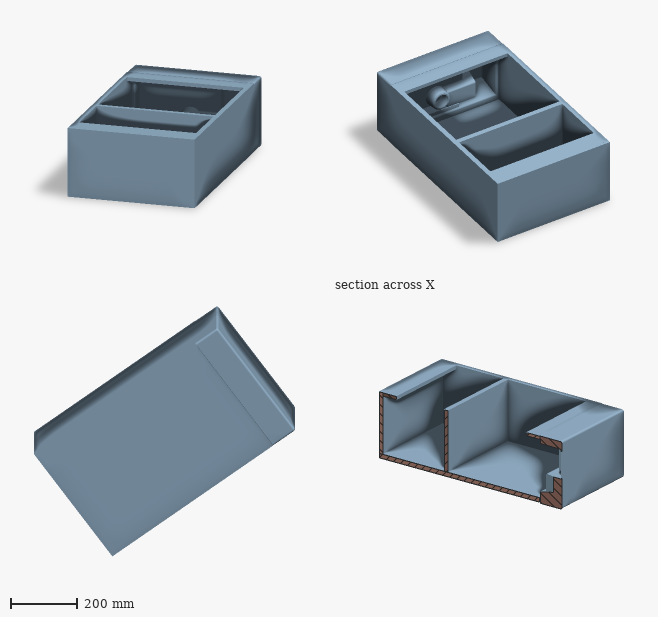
import cadquery as cq
import math

width = 400.0
total_length = 682.0
total_height = 220.0

board = 16.0
box_length = 600.0
base_length = 598.0
base_bottom = 3.0
wall_height = 200.0
wall_bottom = base_bottom + board
wall_top = wall_bottom + wall_height
divider_y = 242.0
strip_width = 50.0
strip_thickness = 12.0

cap_edge_radius = 6.5
pocket_side_wall = 26.0
pocket_back_wall = 4.0
pocket_radius = 5.0
pocket_top = total_height - pocket_side_wall
pocket_back = total_length - pocket_back_wall
floor_height = 38.5
floor_angle = 12.0

panel_front = 645.0
panel_right = 283.0
motor_left = 213.0
motor_right_front = 313.0
motor_right_back = 327.0
motor_front = 618.0
motor_top = 99.0
motor_radius = 5.0
tube_x = 188.0
tube_z = 79.5
tube_front = 610.0
tube_front_radius = 30.0
tube_back_radius = 34.0
tube_bore_radius = 23.0
tube_chamfer = 3.0
rib_right = 247.0
rib_front = 606.0
rib_thickness = 2.0
rib_top = 52.5
sink = 3.0


def block(x0, x1, y0, y1, z0, z1):
    """Box between two opposite corners."""
    return cq.Workplane("XY").box(x1 - x0, y1 - y0, z1 - z0, centered=False).translate((x0, y0, z0))


def floor_z(y):
    """Height of the sloping pocket floor at a given Y."""
    return floor_height + (y - box_length) * math.tan(math.radians(floor_angle))


def make_base():
    return block(0, width, 0, base_length, base_bottom, wall_bottom)


def make_side(x):
    return block(x, x + board, 0, box_length, wall_bottom, wall_top)


def make_cross_board(y):
    """Full-height board between the sides."""
    return block(board, width - board, y, y + board, wall_bottom, wall_top)


def make_strip(y):
    """Top strip between the sides, flush with their upper edges."""
    return block(board, width - board, y, y + strip_width, wall_top - strip_thickness, wall_top)


def make_pocket():
    """Room inside the cap, rounded where its side walls and floor meet the back."""
    profile = [
        (box_length, floor_height),
        (pocket_back, floor_z(pocket_back)),
        (pocket_back, pocket_top),
        (box_length, pocket_top),
    ]
    pocket = cq.Workplane("YZ", origin=(pocket_side_wall, 0, 0)).polyline(profile).close()
    pocket = pocket.extrude(width - 2 * pocket_side_wall)
    return pocket.faces(">Y").edges().fillet(pocket_radius)


def make_cap_shell():
    cap = block(0, width, box_length, total_length, 0, total_height)
    cap = cap.faces(">Y or <X or >X").edges("not(<Y)").fillet(cap_edge_radius)
    cap = cap.cut(make_pocket())
    rim_edges = cq.selectors.BoxSelector(
        (board, box_length - 1, board),
        (width - board, box_length + 1, total_height - board),
    )
    return cap.edges(rim_edges).fillet(pocket_radius)


def make_panel():
    """Raised back panel filling the left part of the pocket."""
    return block(pocket_side_wall, panel_right, panel_front, pocket_back, floor_height, pocket_top)


def make_motor():
    """Housing with a slanted right end and a rounded upper front edge."""
    outline = [
        (motor_left, motor_front),
        (motor_right_front, motor_front),
        (motor_right_back, pocket_back),
        (motor_left, pocket_back),
    ]
    bottom = floor_z(motor_front) - sink
    motor = cq.Workplane("XY", origin=(0, 0, bottom)).polyline(outline).close()
    motor = motor.extrude(motor_top - bottom)
    return motor.faces("<Y").edges(">Z").fillet(motor_radius)


def make_cove():
    """Concave fillet between the motor top and the raised panel."""
    y = panel_front - motor_radius
    z = motor_top + motor_radius
    cove = block(motor_left, panel_right, y, panel_front, motor_top, z)
    hollow = cq.Workplane("YZ", origin=(motor_left, y, z)).circle(motor_radius)
    return cove.cut(hollow.extrude(panel_right - motor_left))


def make_tube():
    """Tube along Y, tapering towards its chamfered front, with a bore ending at the panel."""
    length = panel_front - tube_front
    tube = cq.Workplane("XZ", origin=(tube_x, panel_front, tube_z)).circle(tube_back_radius)
    tube = tube.workplane(offset=length).circle(tube_front_radius).loft()
    return tube.faces("<Y").edges().chamfer(tube_chamfer)


def make_bore():
    bore = cq.Workplane("XZ", origin=(tube_x, panel_front, tube_z)).circle(tube_bore_radius)
    return bore.extrude(panel_front - tube_front)


def make_rib():
    """Thin upright wall along the front of the floor, below the tube."""
    return block(
        pocket_side_wall, rib_right,
        rib_front, rib_front + rib_thickness,
        floor_z(rib_front) - sink, rib_top,
    )


def make_cap():
    cap = make_cap_shell().union(make_panel())
    cap = cap.union(make_motor()).union(make_cove())
    cap = cap.union(make_tube()).cut(make_bore())
    return cap.union(make_rib()).solids()


base = make_base()
sides = [make_side(x) for x in (0, width - board)]
cross_boards = [make_cross_board(y) for y in (0, divider_y)]
strips = [make_strip(y) for y in (board, box_length - strip_width)]
cap = make_cap()

bodies = [base, *sides, *cross_boards, *strips, cap]
result = cq.Compound.makeCompound([body.val() for body in bodies])